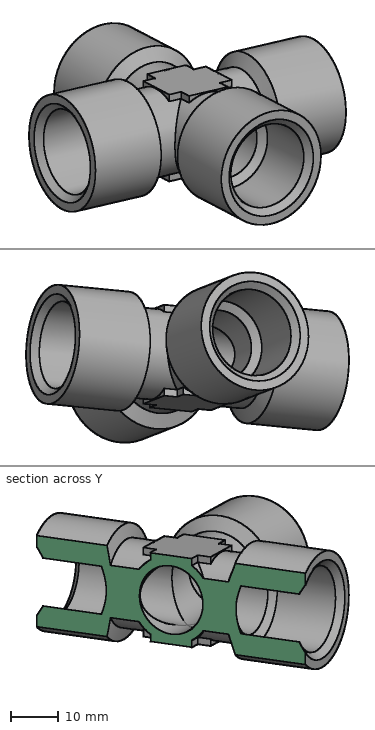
import cadquery as cq

span = 64.0
end = span / 2
socket_radius = 25.5 / 2
neck_radius = 19.3 / 2

socket_length = 16.8
shoulder_length = 1.6
short_shoulder_length = 0.8

passage_radius = 15.0 / 2
socket_bore_radius = 18.6 / 2
mouth_radius = 21.5 / 2
mouth_depth = 1.5
socket_depth = 15.35
bore_taper_length = 1.3

pad_span = 16.0
pad_arm_width = 9.9
pad_height = 9.85

arms = {
    0: short_shoulder_length,
    90: shoulder_length,
    180: shoulder_length,
    270: shoulder_length,
}


def turned(profile, angle):
    """Revolve an (axial, radial) profile about X, then swing it about Z."""
    body = cq.Workplane("XY").polyline(profile).close().revolve(360, (0, 0, 0), (1, 0, 0))
    return body.rotate((0, 0, 0), (0, 0, 1), angle)


def arm_body(angle, shoulder):
    """Neck, conical shoulder and socket."""
    socket_start = end - socket_length
    profile = [
        (0, 0),
        (0, neck_radius),
        (socket_start - shoulder, neck_radius),
        (socket_start, socket_radius),
        (end, socket_radius),
        (end, 0),
    ]
    return turned(profile, angle)


def arm_bore(angle):
    """Chamfered mouth, straight socket, taper and central passage."""
    socket_bottom = end - socket_depth
    profile = [
        (0, 0),
        (0, passage_radius),
        (socket_bottom - bore_taper_length, passage_radius),
        (socket_bottom, socket_bore_radius),
        (end - mouth_depth, socket_bore_radius),
        (end, mouth_radius),
        (end, 0),
    ]
    return turned(profile, angle)


def hub_pads():
    """One cross-shaped block reaching from the lower pad face to the upper one."""
    along_x = cq.Workplane("XY").box(pad_span, pad_arm_width, 2 * pad_height)
    along_y = cq.Workplane("XY").box(pad_arm_width, pad_span, 2 * pad_height)
    return along_x.union(along_y)


result = hub_pads()
for angle, shoulder in arms.items():
    result = result.union(arm_body(angle, shoulder))
for angle in arms:
    result = result.cut(arm_bore(angle))